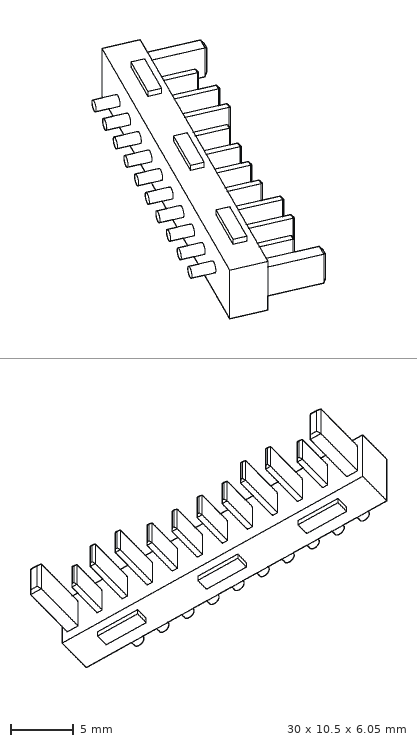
import cadquery as cq

body_length = 30.0
body_depth = 3.27
body_height = 5.05

overall_height = 6.05
pad_length = 4.0
pad_depth = 1.17
pad_pitch = body_length / 3
pad_count = 3
pad_rear_gap = 0.72

contact_pitch = body_length / 12
contact_count = 10
pin_diameter = 1.0
pin_length = 2.05
blade_width = 0.5
blade_height = 2.4
short_blade_length = 3.6
long_blade_length = 4.5
blade_chamfer = 0.18
long_blade_positions = (1, 2, 7, 8)

overall_depth = 10.5
guide_width = 1.08
guide_height = 3.0
guide_length = overall_depth - body_depth - pin_length
guide_chamfer = 0.25
guide_offset = 13.95


def row_positions(count, pitch):
    """X places of a row centred on the bar."""
    return [(i - (count - 1) / 2) * pitch for i in range(count)]


def rear_blade(x, width, length, height, chamfer):
    """Flat blade standing on the rear face, with a chamfered tip."""
    blade = cq.Workplane("XY").box(width, length, height, centered=(True, False, True))
    return blade.faces(">Y").chamfer(chamfer).translate((x, 0, 0))


def front_pin(x):
    """Round pin standing on the front face of the bar."""
    front_face = cq.Workplane("XZ", origin=(x, -body_depth, 0))
    return front_face.circle(pin_diameter / 2).extrude(pin_length)


result = cq.Workplane("XY").box(body_length, body_depth, body_height, centered=(True, False, True))
result = result.translate((0, -body_depth, 0))

pad_center_y = -pad_rear_gap - pad_depth / 2
for x in row_positions(pad_count, pad_pitch):
    pad = cq.Workplane("XY").box(pad_length, pad_depth, overall_height)
    result = result.union(pad.translate((x, pad_center_y, 0)))

for position, x in enumerate(row_positions(contact_count, contact_pitch)):
    is_long = position in long_blade_positions
    length = long_blade_length if is_long else short_blade_length
    result = result.union(rear_blade(x, blade_width, length, blade_height, blade_chamfer))
    result = result.union(front_pin(x))

for x in (-guide_offset, guide_offset):
    result = result.union(rear_blade(x, guide_width, guide_length, guide_height, guide_chamfer))